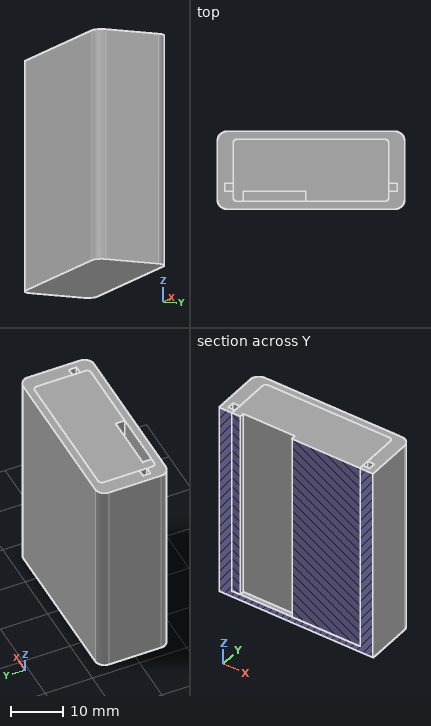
import cadquery as cq

width = 36.0
depth = 15.0
height = 45.0
corner_radius = 2.0

side_wall = 3.05
face_wall = 1.55
floor = face_wall
pocket_width = width - 2 * side_wall
pocket_depth = depth - 2 * face_wall
pocket_corner_radius = 0.8

groove_size = 1.58
groove_front_offset = 3.45
groove_y = -depth / 2 + groove_front_offset + groove_size / 2

channel_width = 12.0
channel_depth = 1.95
channel_right_x = -1.0
channel_x = channel_right_x - channel_width / 2
channel_y = -pocket_depth / 2 + channel_depth / 2


def upright_box(x_size, y_size, bottom, x=0.0, y=0.0):
    """Box centred on (x, y), from the given bottom up to the top of the housing."""
    return (
        cq.Workplane("XY")
        .box(x_size, y_size, height - bottom, centered=(True, True, False))
        .translate((x, y, bottom))
    )


def make_core():
    """Rounded block that exactly fills the pocket."""
    return upright_box(pocket_width, pocket_depth, floor).edges("|Z").fillet(pocket_corner_radius)


def make_housing():
    """Outer shell with the pocket and a groove in each side wall."""
    body = upright_box(width, depth, 0.0).edges("|Z").fillet(corner_radius)
    body = body.cut(make_core())
    for side in (-1, 1):
        groove_x = side * (pocket_width + groove_size) / 2
        body = body.cut(upright_box(groove_size, groove_size, floor, groove_x, groove_y))
    return body


def make_insert():
    """Core block with the channel cut down its front face."""
    channel = upright_box(channel_width, channel_depth, floor, channel_x, channel_y)
    return make_core().cut(channel)


housing = make_housing()
insert = make_insert()

result = cq.Compound.makeCompound([housing.val(), insert.val()])